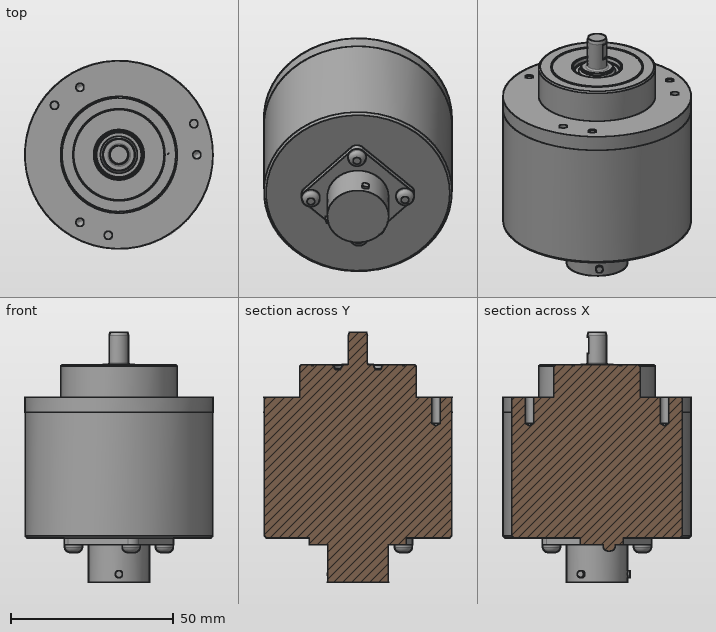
import cadquery as cq
import math


flange_radius = 29.0
flange_thickness = 4.65
body_radius = 28.97
body_bottom_z = -43.4
body_chamfer = 0.7

boss_radius = 18.0
boss_height = 10.0
boss_chamfer = 0.5
groove_outer_radius = 14.2
groove_width = 0.3
groove_depth = 0.3

recess_rim_radius = 7.8
recess_wall_top_radius = 7.4
recess_wall_bottom_radius = 7.1
recess_floor_radius = 6.85
recess_rim_depth = 0.15
recess_wall_depth = 1.3
recess_depth = 1.5

shaft_radius = 3.0
shaft_top_z = 20.0
shaft_tip_cone_height = 1.0
shaft_tip_cone_angle = 15.0
shaft_root_fillet = 0.5
shaft_flat_distance = 2.6
shaft_flat_length = 5.0
shaft_flat_tip_margin = 1.5

collar_top_z = boss_height + 0.1
collar_radius = 5.0
collar_chamfer = 0.2
collar_height = 0.8
collar_cone_radius = 5.5
collar_cone_height = 0.6
collar_base_radius = 5.7

hole_count = 3
tapped_hole_radius = 1.25
tapped_hole_circle_radius = 24.0
tapped_hole_start_angle = 0.0
tapped_hole_depth = 8.0
drill_point_angle = 118.0
shallow_hole_radius = 1.25
shallow_hole_circle_radius = 25.0
shallow_hole_start_angle = 22.5
shallow_hole_depth = 0.5

plate_side = 26.0
plate_thickness = 2.1
plate_corner_radius = 2.4
plate_angle = -30.0
connector_radius = 9.45
connector_bottom_z = -57.0
pin_count = 3
pin_radius = 1.1
pin_protrusion = 0.75
pin_z = -54.5
pin_start_angle = 30.0

screw_count = 4
screw_circle_radius = 14.5
screw_start_angle = 15.0
screw_head_radius = 2.8
screw_head_height = 2.35
screw_head_rim_height = 0.65
screw_head_flat_radius = 1.2
screw_head_dome_rise = 0.4

plate_bottom_z = body_bottom_z - plate_thickness


def polar_points(count, radius, start_angle):
    """Evenly spaced (x, y) points on a circle about the Z axis."""
    angles = [math.radians(start_angle + 360.0 * i / count) for i in range(count)]
    return [(radius * math.cos(a), radius * math.sin(a)) for a in angles]


def disc(radius, bottom_z, top_z):
    """Cylinder on the Z axis between two heights."""
    return cq.Workplane("XY").workplane(offset=bottom_z).circle(radius).extrude(top_z - bottom_z)


def revolve_about_z(profile):
    """Revolve a profile drawn in the XZ plane about the Z axis."""
    return profile.close().revolve(360, (0, 0, 0), (0, 1, 0))


def make_housing():
    body = disc(body_radius, body_bottom_z, -flange_thickness).faces("<Z").chamfer(body_chamfer)
    flange = disc(flange_radius, -flange_thickness, 0)
    boss = disc(boss_radius, 0, boss_height).faces(">Z").chamfer(boss_chamfer)
    return body.union(flange).union(boss)


def make_boss_groove():
    outer = disc(groove_outer_radius, boss_height - groove_depth, boss_height)
    inner = disc(groove_outer_radius - groove_width, boss_height - groove_depth, boss_height)
    return outer.cut(inner)


def make_bearing_recess():
    """Round recess with a bevelled rim and a slightly tapered wall."""
    floor_z = boss_height - recess_depth
    return revolve_about_z(
        cq.Workplane("XZ")
        .moveTo(0, floor_z)
        .lineTo(recess_floor_radius, floor_z)
        .lineTo(recess_wall_bottom_radius, boss_height - recess_wall_depth)
        .lineTo(recess_wall_top_radius, boss_height - recess_rim_depth)
        .lineTo(recess_rim_radius, boss_height)
        .lineTo(0, boss_height)
    )


def make_shaft():
    """Shaft with a stepped collar, a root fillet, a tapered tip and a short flat on the +Y side."""
    floor_z = boss_height - recess_depth
    collar_bottom_z = collar_top_z - collar_height
    tip_edge_z = shaft_top_z - shaft_tip_cone_height
    tip_radius = shaft_radius - shaft_tip_cone_height * math.tan(math.radians(shaft_tip_cone_angle))
    shaft = revolve_about_z(
        cq.Workplane("XZ")
        .moveTo(0, 0)
        .lineTo(collar_base_radius, 0)
        .lineTo(collar_base_radius, floor_z)
        .lineTo(collar_cone_radius, collar_bottom_z - collar_cone_height)
        .lineTo(collar_radius, collar_bottom_z)
        .lineTo(collar_radius, collar_top_z - collar_chamfer)
        .lineTo(collar_radius - collar_chamfer, collar_top_z)
        .lineTo(shaft_radius + shaft_root_fillet, collar_top_z)
        .tangentArcPoint((shaft_radius, collar_top_z + shaft_root_fillet), relative=False)
        .lineTo(shaft_radius, tip_edge_z)
        .lineTo(tip_radius, shaft_top_z)
        .lineTo(0, shaft_top_z)
    )
    flat_bottom_z = shaft_top_z - shaft_flat_tip_margin - shaft_flat_length
    flat_cut = (
        cq.Workplane("XY")
        .box(2 * shaft_radius, shaft_radius, shaft_flat_length, centered=(True, False, False))
        .translate((0, shaft_flat_distance, flat_bottom_z))
    )
    return shaft.cut(flat_cut)


def make_tapped_holes():
    """Blind holes ending in a drill point."""
    point_height = tapped_hole_radius / math.tan(math.radians(drill_point_angle / 2))
    hole = revolve_about_z(
        cq.Workplane("XZ")
        .moveTo(0, 0)
        .lineTo(tapped_hole_radius, 0)
        .lineTo(tapped_hole_radius, -tapped_hole_depth)
        .lineTo(0, -tapped_hole_depth - point_height)
    )
    holes = cq.Workplane("XY")
    for x, y in polar_points(hole_count, tapped_hole_circle_radius, tapped_hole_start_angle):
        holes = holes.add(hole.translate((x, y, 0)))
    return holes.combine()


def make_shallow_holes():
    """Shallow flat-bottomed holes."""
    centers = polar_points(hole_count, shallow_hole_circle_radius, shallow_hole_start_angle)
    return cq.Workplane("XY").pushPoints(centers).circle(shallow_hole_radius).extrude(-shallow_hole_depth)


def make_connector():
    """Square flange plate, round shell and radial bayonet pins."""
    plate = (
        cq.Workplane("XY")
        .workplane(offset=plate_bottom_z)
        .rect(plate_side, plate_side)
        .extrude(plate_thickness)
        .edges("|Z")
        .fillet(plate_corner_radius)
        .rotate((0, 0, 0), (0, 0, 1), plate_angle)
    )
    connector = plate.union(disc(connector_radius, connector_bottom_z, plate_bottom_z))
    pin = (
        cq.Workplane("YZ")
        .center(0, pin_z)
        .circle(pin_radius)
        .extrude(connector_radius + pin_protrusion)
    )
    for i in range(pin_count):
        angle = pin_start_angle + 360.0 * i / pin_count
        connector = connector.union(pin.rotate((0, 0, 0), (0, 0, 1), angle))
    return connector


def make_screw_heads():
    """Domed screw heads under the connector plate."""
    rim_z = plate_bottom_z - screw_head_rim_height
    bottom_z = plate_bottom_z - screw_head_height
    head = revolve_about_z(
        cq.Workplane("XZ")
        .moveTo(0, plate_bottom_z)
        .lineTo(screw_head_radius, plate_bottom_z)
        .lineTo(screw_head_radius, rim_z)
        .sagittaArc((screw_head_flat_radius, bottom_z), screw_head_dome_rise)
        .lineTo(0, bottom_z)
    )
    heads = cq.Workplane("XY")
    for x, y in polar_points(screw_count, screw_circle_radius, screw_start_angle):
        heads = heads.add(head.translate((x, y, 0)))
    return heads.combine()


result = (
    make_housing()
    .cut(make_boss_groove())
    .cut(make_bearing_recess())
    .cut(make_tapped_holes())
    .cut(make_shallow_holes())
    .union(make_shaft())
    .union(make_connector())
    .union(make_screw_heads())
)